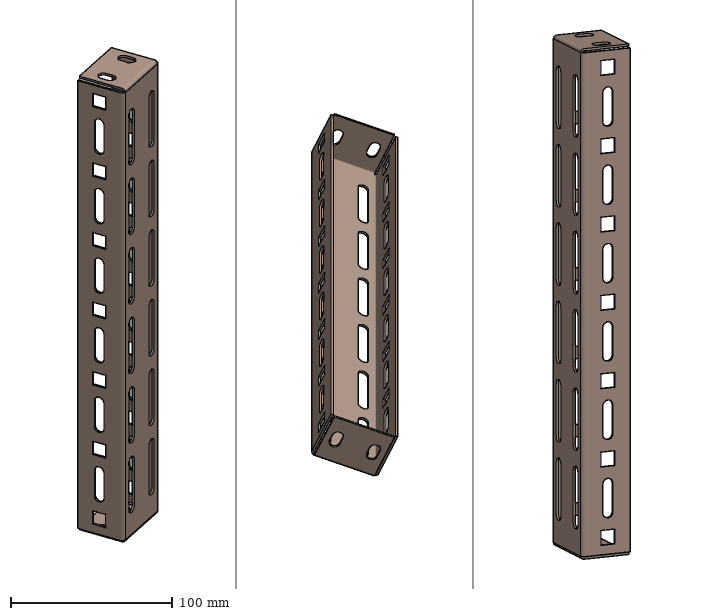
import cadquery as cq

depth = 33.0
width = 45.0
height = 326.0

sheet = 1.5
fold_gap = 0.72
inner_bend_radius = 1.0
outer_bend_radius = inner_bend_radius + sheet
flange_width = width - 2 * (sheet + fold_gap)
wall_height = height - 2 * (sheet + fold_gap)

hole_span = 300.0
pitch_count = 6
pitch = hole_span / pitch_count
open_edge_to_holes = 15.3
hole_line_x = open_edge_to_holes - depth / 2
row_spacing = 25.0
slot_width = 7.0
square_size = 9.5
wall_slot_length = 25.0
web_slot_length = 39.8
end_slot_length = 11.7


def centred_steps(count, step):
    """Evenly spaced positions, symmetric about zero."""
    return [(i - (count - 1) / 2) * step for i in range(count)]


square_heights = centred_steps(pitch_count + 1, pitch)
slot_heights = centred_steps(pitch_count, pitch)
row_positions = centred_steps(2, row_spacing)


def folded_sheet(size_y, size_z, wall_y, wall_z, fold_edges):
    """Box open toward -X, with walls of the given thickness in Y and Z and rounded +X folds."""
    outer = cq.Workplane("XY").box(depth, size_y, size_z)
    outer = outer.edges(fold_edges).fillet(outer_bend_radius)
    cavity = cq.Workplane("XY").box(depth, size_y - 2 * wall_y, size_z - 2 * wall_z)
    cavity = cavity.edges(fold_edges).fillet(inner_bend_radius)
    return outer.cut(cavity.translate((-sheet, 0, 0)))


def wall_holes():
    """Square holes alternating with upright slots, through both side walls."""
    square_points = [(hole_line_x, z) for z in square_heights]
    slot_points = [(hole_line_x, z) for z in slot_heights]
    squares = cq.Workplane("XZ").pushPoints(square_points).rect(square_size, square_size)
    slots = cq.Workplane("XZ").pushPoints(slot_points).slot2D(wall_slot_length, slot_width, 90)
    return squares.extrude(width, both=True).union(slots.extrude(width, both=True))


def web_slots():
    """Two rows of long upright slots through the web only."""
    points = [(y, z) for y in row_positions for z in slot_heights]
    slots = cq.Workplane("YZ").pushPoints(points).slot2D(web_slot_length, slot_width, 90)
    return slots.extrude(depth)


def end_slots():
    """Two short slots through each end flange."""
    points = [(hole_line_x, y) for y in row_positions]
    slots = cq.Workplane("XY").pushPoints(points).slot2D(end_slot_length, slot_width)
    return slots.extrude(height, both=True)


side_walls = folded_sheet(width, wall_height, sheet, 0, "|Z and >X")
end_flanges = folded_sheet(flange_width, height, 0, sheet, "|Y and >X")

channel = side_walls.union(end_flanges)
result = channel.cut(wall_holes()).cut(web_slots()).cut(end_slots())